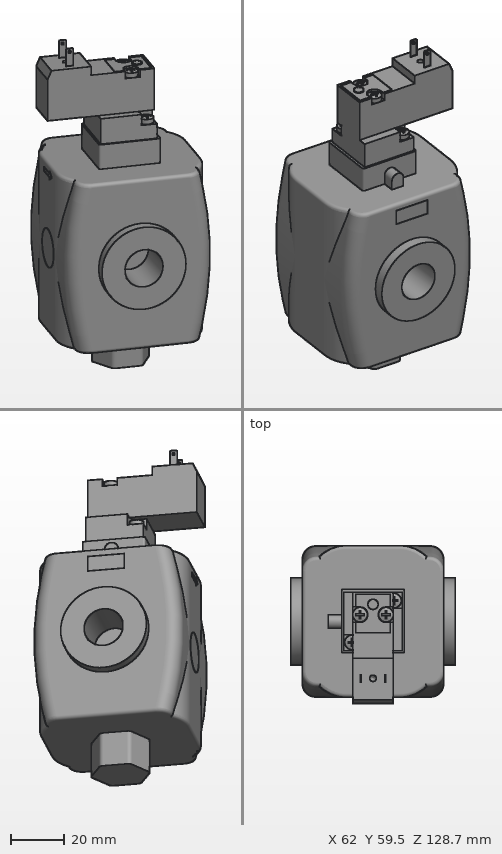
import cadquery as cq
import math


TOTAL_HEIGHT = 128.7
STEM_BOTTOM = -47.5
TERMINAL_TOP = STEM_BOTTOM + TOTAL_HEIGHT

SHELL_HALF_HEIGHT = 34.1
SHELL_HALF_X = 26.6
SHELL_HALF_Y = 28.6
BULGE_HALF_HEIGHT = 27.2
BULGE_RADIUS = 128.7
BULGE_CORNER_RADIUS = 5.3
BARREL_HALF_FLAT = 9.9
BARREL_CORNER_RADIUS = 14.8
SHELL_RIM_RADIUS = 1.4

PORT_DIAMETER = 33.0
PORT_HALF_LENGTH = 31.0
BORE_DIAMETER = 14.9
BORE_DEPTH = 19.3

STEM_ACROSS_FLATS = 19.8
STEM_EDGE_RADIUS = 1.9

MARK_DEPTH = 0.1
DISC_DIAMETER = 15.2
LABEL_WIDTH = 14.0
LABEL_HEIGHT = 5.9
LABEL_Z = 28.3
ARROW_Z = 30.0
ARROW_TAIL_X = -5.0
ARROW_NECK_X = 2.3
ARROW_TIP_X = 5.1
ARROW_SHAFT_HALF_HEIGHT = 0.8
ARROW_HEAD_HALF_HEIGHT = 1.7

BASE_TOP = 43.9
BASE_HALF_X = 11.8
BASE_FRONT_Y = -11.8
BASE_BACK_Y = 12.2
BASE_EDGE_RADIUS = 0.8
LUG_END_X = -16.9
LUG_WIDTH = 5.1
LUG_TOP = 40.4

FOOT_HALF_WIDTH = 11.1
FOOT_TOP = 54.0
COIL_HALF_WIDTH = 7.6
COIL_FRONT_Y = -30.9
COIL_STEP_Y = -13.8
COIL_DECK = 70.7
COIL_TOP = 74.1
COIL_BEVEL_RUN = 1.5

PLATE_WIDTH = 13.0
PLATE_BACK_Y = 10.2
PLATE_FRONT_Y = -4.2
BUTTON_DIAMETER = 3.9
BUTTON_HEIGHT = 0.3
BUTTON_Y = 6.4
TERMINAL_X = 4.6
TERMINAL_Y = -21.4
TERMINAL_THICKNESS = 0.4
TERMINAL_WIDTH = 2.8
TERMINAL_TIP_CHAMFER = 0.4
TERMINAL_HOLE_DIAMETER = 1.0
TERMINAL_HOLE_Z = 79.8
SOCKET_DIAMETER = 2.5
SOCKET_DEPTH = 2.6
SOCKET_TIP_DEPTH = SOCKET_DIAMETER / 2

HEAD_DIAMETER = 5.5
HEAD_RIM_HEIGHT = 1.9
HEAD_DOME_HEIGHT = 0.6
CROSS_LENGTH = 3.1
CROSS_WIDTH = 0.6
CROSS_DEPTH = 0.8
POCKET_DIAMETER = 5.8
FOOT_SEAT = 49.7
FOOT_SCREW_OFFSET = 7.9
COIL_SEAT = 67.8
COIL_SCREW_X = 4.9
COIL_SCREW_Y = 2.6

FOOT_SCREW_SIDES = (-1, 1)
COIL_SCREW_SIDES = (-1, 1)


def block(x0, x1, y0, y1, z0, z1):
    return cq.Workplane("XY").box(x1 - x0, y1 - y0, z1 - z0, centered=False).translate((x0, y0, z0))


def upright_cylinder(diameter, x, y, z0, z1):
    return cq.Workplane("XY", origin=(x, y, z0)).circle(diameter / 2).extrude(z1 - z0)



def bulged_block():
    """Block whose front and back bow outwards, with round corners along the bow."""
    bow_angle = math.asin(BULGE_HALF_HEIGHT / BULGE_RADIUS)
    bow_end_y = SHELL_HALF_Y - BULGE_RADIUS * (1 - math.cos(bow_angle))
    end_y = bow_end_y - (SHELL_HALF_HEIGHT - BULGE_HALF_HEIGHT) * math.tan(bow_angle)
    return (
        cq.Workplane("YZ", origin=(-SHELL_HALF_X, 0, 0))
        .moveTo(-end_y, -SHELL_HALF_HEIGHT)
        .lineTo(end_y, -SHELL_HALF_HEIGHT)
        .lineTo(bow_end_y, -BULGE_HALF_HEIGHT)
        .threePointArc((SHELL_HALF_Y, 0), (bow_end_y, BULGE_HALF_HEIGHT))
        .lineTo(end_y, SHELL_HALF_HEIGHT)
        .lineTo(-end_y, SHELL_HALF_HEIGHT)
        .lineTo(-bow_end_y, BULGE_HALF_HEIGHT)
        .threePointArc((-SHELL_HALF_Y, 0), (-bow_end_y, -BULGE_HALF_HEIGHT))
        .close()
        .extrude(2 * SHELL_HALF_X)
        .faces("<X or >X")
        .edges("not #Z")
        .fillet(BULGE_CORNER_RADIUS)
    )


def barrel():
    """Upright core with flat front and back strips and wide round corners."""
    half_x = BARREL_HALF_FLAT + BARREL_CORNER_RADIUS
    return (
        cq.Workplane("XY")
        .box(2 * half_x, 2 * SHELL_HALF_Y, 2 * SHELL_HALF_HEIGHT)
        .edges("|Z")
        .fillet(BARREL_CORNER_RADIUS)
    )


def shell():
    return bulged_block().union(barrel()).faces("<Z or >Z").edges().fillet(SHELL_RIM_RADIUS)


def port_flanges():
    return (
        cq.Workplane("YZ", origin=(-PORT_HALF_LENGTH, 0, 0))
        .circle(PORT_DIAMETER / 2)
        .extrude(2 * PORT_HALF_LENGTH)
    )


def port_bore(side):
    return (
        cq.Workplane("YZ", origin=(side * PORT_HALF_LENGTH, 0, 0))
        .circle(BORE_DIAMETER / 2)
        .extrude(-side * BORE_DEPTH)
    )


def stem():
    across_corners = STEM_ACROSS_FLATS / math.cos(math.pi / 6)
    return (
        cq.Workplane("XY", origin=(0, 0, STEM_BOTTOM))
        .transformed(rotate=(0, 0, 90))
        .polygon(6, across_corners)
        .extrude(-SHELL_HALF_HEIGHT - STEM_BOTTOM)
        .edges("|Z")
        .fillet(STEM_EDGE_RADIUS)
    )


def pilot_base():
    return (
        block(-BASE_HALF_X, BASE_HALF_X, BASE_FRONT_Y, BASE_BACK_Y, SHELL_HALF_HEIGHT, BASE_TOP)
        .edges("|Z")
        .fillet(BASE_EDGE_RADIUS)
    )


def side_lug():
    """Round-topped lug on the -X side of the pilot base."""
    radius = LUG_WIDTH / 2
    return (
        cq.Workplane("YZ", origin=(LUG_END_X, 0, 0))
        .moveTo(-radius, SHELL_HALF_HEIGHT)
        .lineTo(radius, SHELL_HALF_HEIGHT)
        .lineTo(radius, LUG_TOP - radius)
        .threePointArc((0, LUG_TOP), (-radius, LUG_TOP - radius))
        .close()
        .extrude(-BASE_HALF_X - LUG_END_X)
    )


def front_disc_recess():
    front = cq.Workplane("XZ", origin=(0, -SHELL_HALF_Y, 0))
    return front.circle(DISC_DIAMETER / 2).extrude(-MARK_DEPTH)


def flow_arrow_recess():
    """Arrow that points along the flow, towards +X."""
    return (
        cq.Workplane("XZ", origin=(0, -SHELL_HALF_Y, ARROW_Z))
        .moveTo(ARROW_TAIL_X, -ARROW_SHAFT_HALF_HEIGHT)
        .lineTo(ARROW_NECK_X, -ARROW_SHAFT_HALF_HEIGHT)
        .lineTo(ARROW_NECK_X, -ARROW_HEAD_HALF_HEIGHT)
        .lineTo(ARROW_TIP_X, 0)
        .lineTo(ARROW_NECK_X, ARROW_HEAD_HALF_HEIGHT)
        .lineTo(ARROW_NECK_X, ARROW_SHAFT_HALF_HEIGHT)
        .lineTo(ARROW_TAIL_X, ARROW_SHAFT_HALF_HEIGHT)
        .close()
        .extrude(-MARK_DEPTH)
    )


def inlet_label_recess():
    inlet_side = cq.Workplane("YZ", origin=(-SHELL_HALF_X, 0, LABEL_Z))
    return inlet_side.rect(LABEL_WIDTH, LABEL_HEIGHT).extrude(MARK_DEPTH)


def make_housing():
    body = shell().union(port_flanges()).union(stem()).union(pilot_base()).union(side_lug())
    for side in (-1, 1):
        body = body.cut(port_bore(side))
    return body.cut(front_disc_recess()).cut(flow_arrow_recess()).cut(inlet_label_recess())



def foot():
    return block(
        -FOOT_HALF_WIDTH, FOOT_HALF_WIDTH, -FOOT_HALF_WIDTH, FOOT_HALF_WIDTH, BASE_TOP, FOOT_TOP
    )


def coil_block():
    """Stepped block that overhangs the foot towards -Y, with a bevelled front edge."""
    return (
        cq.Workplane("YZ", origin=(-COIL_HALF_WIDTH, 0, 0))
        .moveTo(FOOT_HALF_WIDTH, FOOT_TOP)
        .lineTo(FOOT_HALF_WIDTH, COIL_DECK)
        .lineTo(COIL_STEP_Y, COIL_DECK)
        .lineTo(COIL_STEP_Y, COIL_TOP)
        .lineTo(COIL_FRONT_Y + COIL_BEVEL_RUN, COIL_TOP)
        .lineTo(COIL_FRONT_Y, COIL_DECK)
        .lineTo(COIL_FRONT_Y, FOOT_TOP)
        .close()
        .extrude(2 * COIL_HALF_WIDTH)
    )


def foot_screw_pocket(side):
    """Round pocket at a corner of the foot, open to both outer faces."""
    radius = POCKET_DIAMETER / 2
    centre = side * FOOT_SCREW_OFFSET
    inner = side * (FOOT_SCREW_OFFSET - radius)
    outer = side * FOOT_HALF_WIDTH
    low = min(inner, outer)
    high = max(inner, outer)
    near = min(centre, outer)
    far = max(centre, outer)
    return (
        upright_cylinder(POCKET_DIAMETER, centre, centre, FOOT_SEAT, FOOT_TOP)
        .union(block(near, far, low, high, FOOT_SEAT, FOOT_TOP))
        .union(block(low, high, near, far, FOOT_SEAT, FOOT_TOP))
    )


def coil_screw_pocket(side):
    """Round pocket in the coil deck, open to the nearer side face."""
    radius = POCKET_DIAMETER / 2
    centre_x = side * COIL_SCREW_X
    outer_x = side * COIL_HALF_WIDTH
    x0 = min(centre_x, outer_x)
    x1 = max(centre_x, outer_x)
    y0 = COIL_SCREW_Y - radius
    y1 = COIL_SCREW_Y + radius
    opening = block(x0, x1, y0, y1, COIL_SEAT, COIL_DECK)
    return upright_cylinder(POCKET_DIAMETER, centre_x, COIL_SCREW_Y, COIL_SEAT, COIL_DECK).union(opening)


def plate_recess():
    half = PLATE_WIDTH / 2
    return block(-half, half, PLATE_FRONT_Y, PLATE_BACK_Y, COIL_DECK - MARK_DEPTH, COIL_DECK)


def button():
    return upright_cylinder(BUTTON_DIAMETER, 0, BUTTON_Y, COIL_DECK - MARK_DEPTH, COIL_DECK + BUTTON_HEIGHT)


def terminal(side):
    """Flat blade with a chamfered tip and a cross hole."""
    blade = (
        cq.Workplane("XY", origin=(side * TERMINAL_X, TERMINAL_Y, COIL_TOP))
        .rect(TERMINAL_THICKNESS, TERMINAL_WIDTH)
        .extrude(TERMINAL_TOP - COIL_TOP)
        .faces(">Z")
        .edges("|X")
        .chamfer(TERMINAL_TIP_CHAMFER)
    )
    hole = (
        cq.Workplane("YZ", origin=(side * TERMINAL_X, TERMINAL_Y, TERMINAL_HOLE_Z))
        .circle(TERMINAL_HOLE_DIAMETER / 2)
        .extrude(TERMINAL_THICKNESS, both=True)
    )
    return blade.cut(hole)


def socket():
    """Blind hole with a conical tip, between the terminals."""
    return (
        cq.Workplane("XZ", origin=(0, TERMINAL_Y, COIL_TOP))
        .lineTo(SOCKET_DIAMETER / 2, 0)
        .lineTo(SOCKET_DIAMETER / 2, -SOCKET_DEPTH)
        .lineTo(0, -SOCKET_DEPTH - SOCKET_TIP_DEPTH)
        .close()
        .revolve(360, (0, 0, 0), (0, 1, 0))
    )


def make_pilot_valve():
    base = foot()
    for side in FOOT_SCREW_SIDES:
        base = base.cut(foot_screw_pocket(side))
    body = base.union(coil_block()).cut(plate_recess()).union(button())
    for side in COIL_SCREW_SIDES:
        body = body.cut(coil_screw_pocket(side))
    for side in (-1, 1):
        body = body.union(terminal(side))
    return body.cut(socket())



def make_screw(x, y, seat):
    """Domed screw head with a cross recess, standing on its seat."""
    radius = HEAD_DIAMETER / 2
    top = HEAD_RIM_HEIGHT + HEAD_DOME_HEIGHT
    dome_radius = (radius**2 + HEAD_DOME_HEIGHT**2) / (2 * HEAD_DOME_HEIGHT)
    mid_x = radius / 2
    mid_z = top - dome_radius + math.sqrt(dome_radius**2 - mid_x**2)
    head = (
        cq.Workplane("XZ")
        .lineTo(radius, 0)
        .lineTo(radius, HEAD_RIM_HEIGHT)
        .threePointArc((mid_x, mid_z), (0, top))
        .close()
        .revolve(360, (0, 0, 0), (0, 1, 0))
    )
    recess = cq.Workplane("XY", origin=(0, 0, top - CROSS_DEPTH))
    for length_x, length_y in ((CROSS_LENGTH, CROSS_WIDTH), (CROSS_WIDTH, CROSS_LENGTH)):
        head = head.cut(recess.rect(length_x, length_y).extrude(CROSS_DEPTH))
    return head.translate((x, y, seat))


def make_screws():
    screws = []
    for side in FOOT_SCREW_SIDES:
        screws.append(make_screw(side * FOOT_SCREW_OFFSET, side * FOOT_SCREW_OFFSET, FOOT_SEAT))
    for side in COIL_SCREW_SIDES:
        screws.append(make_screw(side * COIL_SCREW_X, COIL_SCREW_Y, COIL_SEAT))
    return screws


housing = make_housing()
pilot_valve = make_pilot_valve()
screws = make_screws()

result = cq.Compound.makeCompound(
    [housing.val(), pilot_valve.val(), *[screw.val() for screw in screws]]
)